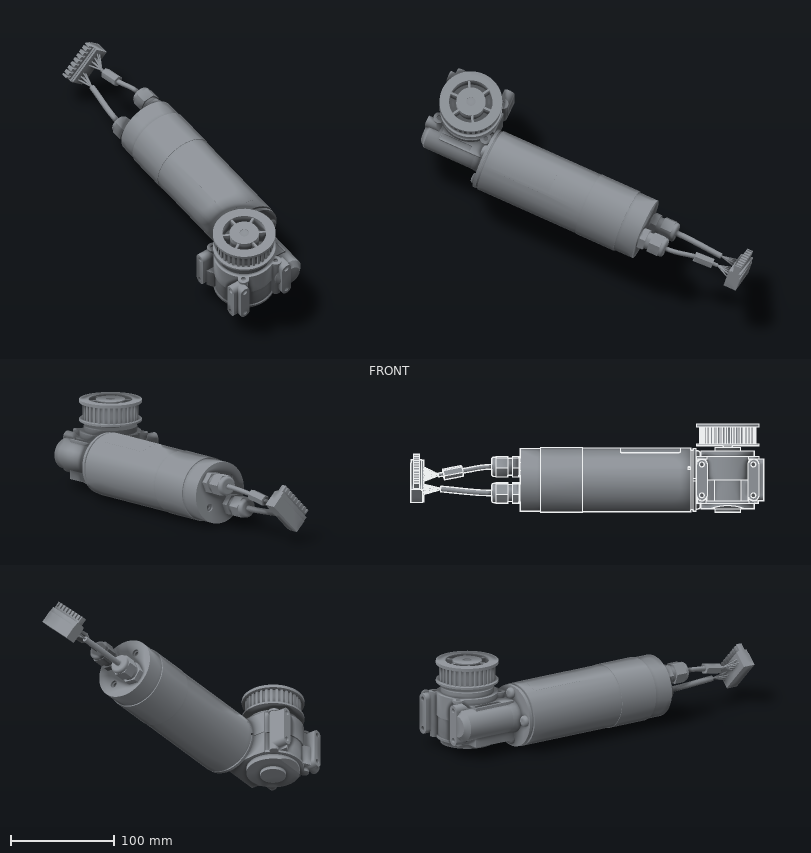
import cadquery as cq
import math


OVERALL_X = 342.93
OVERALL_Y = 97.8
OVERALL_Z = 85.8

CAP_START = 106.3
BAND_START = 126.0
BAND_END = 166.9
MOTOR_END = 272.0
CAP_DIA = 61.0
BAND_DIA = 63.0
BODY_DIA = 62.0
FACE_SCREW_OFFSET = 13.0
FACE_SCREW_DIA = 7.5
FACE_SCREW_DEPTH = 2.0
FACE_SOCKET_DIA = 4.0
LABEL_START = 203.6
LABEL_LENGTH = 58.2
LABEL_WIDTH = 33.0
LABEL_CORNER = 2.0
LABEL_THICKNESS = 0.1
MARK_X = 270.4
MARK_ANGLE = 68.0
MARK_DIA = 2.8
MARK_DEPTH = 1.5

FLANGE_NECK_DIA = 58.0
FLANGE_START = 274.2
FLANGE_END = 277.2
FLANGE_DIA = 61.0
FLANGE_SLOT = 2.5
FLANGE_SLOT_DEPTH = 4.0
FLANGE_SCREW_DIA = 11.0
FLANGE_SCREW_HEIGHT = 4.0
FLANGE_SCREW_ROUNDING = 3.0
FLANGE_SCREW_RADIUS = 23.0

SHAFT_X = 307.7
SHAFT_Y = -31.2
HOUSING_RADIUS = 30.0
LOWER_RADIUS = 28.5
HOUSING_TOP = 22.8
HOUSING_BOTTOM = -22.8
COVER_DIA = 52.0
COVER_HEIGHT = 5.3
BOSS_DIA = 25.0
BOTTOM_Z = -31.5
BOSS_TOP = 31.5
BEVEL_TOP_REACH = 30.0
BEVEL_LOW_REACH = 20.0
EAR_X = 25.0
EAR_Y = 19.5
EAR_RADIUS = 5.5
EAR_HOLE_DIA = 4.65
EAR_THICKNESS = 2.3
COLUMN_RADIUS = 4.5
FOOT_REACH = OVERALL_X - SHAFT_X
SIDE_FOOT_REACH = OVERALL_Y - BAND_DIA / 2 + SHAFT_Y
FOOT_PITCH = 50.0
FOOT_HOLE_PITCH = 30.0
FOOT_HOLE_DIA = 4.65
FOOT_HOLE_DEPTH = 7.0
FOOT_WIDTH = 10.6
FOOT_HEIGHT = 40.6
FOOT_ROOT = 19.8
FOOT_ROOT_CHAMFER = 5.0
RIB_OUTLINE = ((12.9, -20.0), (12.9, -27.3), (16.5, -29.5), (19.8, -31.0), (19.8, -20.0))
WORM_RADIUS = 15.3
WORM_END_CHAMFER = 5.0
WORM_ROOT_RADIUS = 16.7
WORM_ROOT_LENGTH = 9.0
WORM_REACH = 34.3
BRIDGE_START = -29.0
BRIDGE_END = 16.7
BRIDGE_TOP = 17.0
BRIDGE_REACH = 37.5
FLANK_REACH = 30.0
LOWER_FLANK_REACH = 29.3
FLANK_HALF_WIDTH = 10.8
BRIDGE_POCKET = (31.5, 5.5)
BRIDGE_POCKET_CENTER = (0.3, 33.3)
BRIDGE_POCKET_DEPTH = 1.5

PULLEY_BOTTOM = 33.0
PULLEY_TOP = BOTTOM_Z + OVERALL_Z
RIM_DIA = 61.0
TOP_RIM_THICKNESS = 3.0
LOW_RIM_THICKNESS = 2.0
TOOTH_COUNT = 33
TOOTH_DIA = 54.8
TOOTH_GAP = 2.8
TOOTH_DEPTH = 2.0
HUB_DIA = 28.5
RING_DIA = 42.5
RING_DEPTH = 14.0
SPOKE_COUNT = 6
SPOKE_WIDTH = 2.2
SPOKE_DROP = 1.0
SPOKE_OVERLAP = 1.0
SHAFT_DIA = 9.0
SHAFT_RECESS = 0.5

GLAND_OFFSET = 12.7
GLAND_START = 78.6
GLAND_NOSE_DIA = 19.0
GLAND_NOSE_ROUNDING = 2.5
NUT_START = 83.0
NUT_END = 94.4
SEAT_START = 98.8
SEAT_END = 105.0
GLAND_FLATS = 19.0
NUT_TURN = 7.0
GLAND_NECK_DIA = 16.7

PLUG_LENGTH = 12.8
PLUG_U = (-20.0, 21.3)
PLUG_V = (-10.0, 8.0)
PLUG_STEP_V = 3.3
PLUG_STEP_DEPTH = 0.6
PLUG_LIP = (2.0, 1.0)
PLUG_END_LIP = (1.0, 1.3)
COMB_X = (2.7, 8.8)
COMB_U = (-20.0, 20.0)
COMB_TOP = 15.4
COMB_PITCH = 5.0
COMB_SLOT = 2.0
COMB_SLOT_DEPTH = 5.0
CABLE_DIA = 5.65
THIN_CABLE_DIA = 4.65
SLEEVE_START = 32.0
SLEEVE_END = 50.3
SLEEVE_CORNERS = 11.0
SLEEVE_LOW_U = -7.4
SLEEVE_HIGH_U = -11.2
SLEEVE_HIGH_V = 1.2
SLEEVE_BOOT_DIA = 3.78
UPPER_ROOT = (27.0, -6.8)
LOWER_ROOT = (29.2, 12.4)
UPPER_WIRES_U = (-16.0, -11.0, -6.0, -1.0)
LOWER_WIRES_U = (8.0, 12.5, 17.0)
WIRE_ROWS_V = (-2.5, 1.5)
CABLE_INSERTION = 1.0
WIRE_DIA = 1.4
FAN_PLUNGE = 1.0


def point(x, u, v=0.0):
    """Point from the diagonal frame: u runs toward -Y-Z, v toward -Y+Z."""
    return cq.Vector(x, -(u + v) / math.sqrt(2), (v - u) / math.sqrt(2))


def rod(start, end, dia):
    axis = end - start
    return cq.Workplane(obj=cq.Solid.makeCylinder(dia / 2, axis.Length, start, axis))


def x_cylinder(x0, x1, dia, y=0.0, z=0.0):
    return rod(cq.Vector(x0, y, z), cq.Vector(x1, y, z), dia)


def z_cylinder(z0, z1, dia, dx=0.0, dy=0.0):
    """Upright cylinder placed relative to the output shaft axis."""
    x = SHAFT_X + dx
    y = SHAFT_Y + dy
    return rod(cq.Vector(x, y, z0), cq.Vector(x, y, z1), dia)


def box(x, y, z):
    """Box from (low, high) pairs along the three axes."""
    size = (x[1] - x[0], y[1] - y[0], z[1] - z[0])
    return cq.Workplane().box(*size, centered=False).translate((x[0], y[0], z[0]))


def diagonal_box(x, u, v):
    """Box from (low, high) pairs in the diagonal frame."""
    plane = cq.Plane(origin=point(0, 0, v[0]), xDir=(1, 0, 0), normal=point(0, 0, 1))
    return (
        cq.Workplane(plane)
        .moveTo((x[0] + x[1]) / 2, -(u[0] + u[1]) / 2)
        .rect(x[1] - x[0], u[1] - u[0])
        .extrude(v[1] - v[0])
    )


def make_motor():
    motor = x_cylinder(CAP_START, BAND_START, CAP_DIA)
    motor = motor.union(x_cylinder(BAND_START, BAND_END, BAND_DIA))
    motor = motor.union(x_cylinder(BAND_END, MOTOR_END, BODY_DIA))
    for side in (-1, 1):
        y = side * FACE_SCREW_OFFSET
        pocket_floor = CAP_START + FACE_SCREW_DEPTH
        motor = motor.cut(x_cylinder(CAP_START, pocket_floor, FACE_SCREW_DIA, y, -y))
        socket_floor = pocket_floor + FACE_SCREW_DEPTH
        motor = motor.cut(x_cylinder(CAP_START, socket_floor, FACE_SOCKET_DIA, y, -y))
    angle = math.radians(MARK_ANGLE)
    outward = cq.Vector(0, -math.sin(angle), math.cos(angle))
    surface = cq.Vector(MARK_X, 0, 0) + outward * (BODY_DIA / 2)
    return motor.cut(rod(surface + outward, surface - outward * MARK_DEPTH, MARK_DIA))


def make_label():
    """Thin raised plate that follows the top of the motor body."""
    outline = (
        cq.Workplane(origin=(LABEL_START + LABEL_LENGTH / 2, 0, 0))
        .rect(LABEL_LENGTH, LABEL_WIDTH)
        .extrude(BODY_DIA)
        .edges("|Z")
        .fillet(LABEL_CORNER)
    )
    skin = x_cylinder(BAND_END, MOTOR_END, BODY_DIA + 2 * LABEL_THICKNESS)
    return skin.intersect(outline)


def make_flange():
    flange = x_cylinder(FLANGE_START, FLANGE_END, FLANGE_DIA)
    slot_floor = FLANGE_DIA / 2 - FLANGE_SLOT_DEPTH
    half_slot = FLANGE_SLOT / 2
    slot = box((FLANGE_START, FLANGE_END), (slot_floor, FLANGE_DIA), (-half_slot, half_slot))
    flange = flange.cut(slot.rotate((0, 0, 0), (1, 0, 0), 180))
    flange = flange.union(x_cylinder(MOTOR_END, FLANGE_START, FLANGE_NECK_DIA))
    screw_end = FLANGE_END + FLANGE_SCREW_HEIGHT
    screw = x_cylinder(FLANGE_END, screw_end, FLANGE_SCREW_DIA, FLANGE_SCREW_RADIUS)
    screw = screw.faces(">X").edges().fillet(FLANGE_SCREW_ROUNDING)
    for turn in range(4):
        flange = flange.union(screw.rotate((0, 0, 0), (1, 0, 0), 90 * turn))
    return flange


def make_foot():
    """Foot that points along +X, with its root corners beveled."""
    stadium = (
        cq.Workplane("YZ", origin=(FOOT_ROOT, 0, 0))
        .slot2D(FOOT_HEIGHT, FOOT_WIDTH, 90)
        .extrude(FOOT_REACH - FOOT_ROOT)
    )
    side_profile = (
        cq.Workplane("XZ")
        .rect(2 * (FOOT_REACH - FOOT_ROOT), FOOT_HEIGHT)
        .extrude(FOOT_WIDTH, both=True)
        .edges("|Y")
        .chamfer(FOOT_ROOT_CHAMFER)
        .translate((FOOT_REACH, 0, 0))
    )
    return stadium.intersect(side_profile)


def make_ribs():
    """Ribs on the lower half, between the -Y feet and the wheel housing."""
    ribs = cq.Workplane()
    for side in (-1, 1):
        outline = [(side * x, y) for x, y in RIB_OUTLINE]
        rib = cq.Workplane().polyline(outline).close().extrude(HOUSING_BOTTOM + EAR_THICKNESS)
        ribs = ribs.add(rib.translate((SHAFT_X, SHAFT_Y, 0)))
    return ribs.combine()


def make_foot_holes():
    return (
        cq.Workplane("YZ", origin=(FOOT_REACH - FOOT_HOLE_DEPTH, 0, 0))
        .rarray(1, FOOT_HOLE_PITCH, 1, 2)
        .circle(FOOT_HOLE_DIA / 2)
        .extrude(FOOT_HOLE_DEPTH)
    )


def place_feet(foot):
    """One pair of feet on the +X side and one pair on the -Y side."""
    feet = cq.Workplane()
    for side in (-1, 1):
        on_x = foot.translate((0, side * FOOT_PITCH / 2, 0))
        on_y = on_x.rotate((0, 0, 0), (0, 0, 1), -90).translate((0, FOOT_REACH - SIDE_FOOT_REACH, 0))
        for placed in (on_x, on_y):
            feet = feet.add(placed.translate((SHAFT_X, SHAFT_Y, 0)))
    return feet.combine()


def make_worm_tube():
    tube_end = SHAFT_X + WORM_REACH
    tube = x_cylinder(FLANGE_END, tube_end, 2 * WORM_RADIUS)
    tube = tube.faces(">X").edges().chamfer(WORM_END_CHAMFER)
    root = cq.Solid.makeCone(
        WORM_ROOT_RADIUS, WORM_RADIUS, WORM_ROOT_LENGTH, cq.Vector(FLANGE_END, 0, 0), cq.Vector(1, 0, 0)
    )
    return tube.union(cq.Workplane(obj=root))


def make_bridge():
    bridge = box(
        (SHAFT_X + BRIDGE_START, SHAFT_X + BRIDGE_END),
        (SHAFT_Y, SHAFT_Y + BRIDGE_REACH),
        (HOUSING_BOTTOM, BRIDGE_TOP),
    )
    pocket = (
        cq.Workplane()
        .rect(*BRIDGE_POCKET)
        .extrude(-BRIDGE_POCKET_DEPTH)
        .translate((SHAFT_X + BRIDGE_POCKET_CENTER[0], SHAFT_Y + BRIDGE_POCKET_CENTER[1], BRIDGE_TOP))
    )
    return bridge.cut(pocket)


def make_gearbox():
    """Wheel housing with its covers, flanks, worm tube, feet, ribs and screw ears."""
    gearbox = z_cylinder(0, HOUSING_TOP, 2 * HOUSING_RADIUS)
    gearbox = gearbox.union(z_cylinder(HOUSING_BOTTOM, 0, 2 * LOWER_RADIUS))
    rim_top = HOUSING_BOTTOM + EAR_THICKNESS
    gearbox = gearbox.union(z_cylinder(HOUSING_BOTTOM, rim_top, 2 * HOUSING_RADIUS))
    gearbox = gearbox.union(z_cylinder(HOUSING_BOTTOM - COVER_HEIGHT, HOUSING_TOP + COVER_HEIGHT, COVER_DIA))
    bevel = (
        cq.Workplane("YZ")
        .polyline([
            (-BEVEL_TOP_REACH, HOUSING_BOTTOM),
            (-BEVEL_LOW_REACH, HOUSING_BOTTOM - COVER_HEIGHT),
            (-BEVEL_TOP_REACH, HOUSING_BOTTOM - COVER_HEIGHT),
        ])
        .close()
        .extrude(HOUSING_RADIUS, both=True)
        .translate((SHAFT_X, SHAFT_Y, 0))
    )
    gearbox = gearbox.cut(bevel)
    gearbox = gearbox.union(z_cylinder(BOTTOM_Z, BOSS_TOP, BOSS_DIA))
    flank_y = (SHAFT_Y - FLANK_HALF_WIDTH, SHAFT_Y + FLANK_HALF_WIDTH)
    upper_flank = box((SHAFT_X - FLANK_REACH, SHAFT_X), flank_y, (0, HOUSING_TOP))
    lower_flank = box((SHAFT_X - LOWER_FLANK_REACH, SHAFT_X), flank_y, (HOUSING_BOTTOM, 0))
    gearbox = gearbox.union(upper_flank).union(lower_flank)
    gearbox = gearbox.union(make_bridge())
    gearbox = gearbox.union(make_worm_tube())
    gearbox = gearbox.union(place_feet(make_foot()))
    gearbox = gearbox.union(make_ribs())
    for dx in (-EAR_X, EAR_X):
        for dy in (-EAR_Y, EAR_Y):
            gearbox = gearbox.union(z_cylinder(HOUSING_BOTTOM, HOUSING_TOP, 2 * COLUMN_RADIUS, dx, dy))
            ear_bottom = HOUSING_TOP - EAR_THICKNESS
            gearbox = gearbox.union(z_cylinder(ear_bottom, HOUSING_TOP, 2 * EAR_RADIUS, dx, dy))
            gearbox = gearbox.cut(z_cylinder(ear_bottom, HOUSING_TOP, EAR_HOLE_DIA, dx, dy))
    return gearbox.cut(place_feet(make_foot_holes()))


def make_pulley():
    pulley = z_cylinder(PULLEY_BOTTOM, PULLEY_TOP, TOOTH_DIA)
    gap = box(
        (TOOTH_DIA / 2 - TOOTH_DEPTH, TOOTH_DIA),
        (-TOOTH_GAP / 2, TOOTH_GAP / 2),
        (PULLEY_BOTTOM, PULLEY_TOP),
    )
    gaps = cq.Workplane()
    for tooth in range(TOOTH_COUNT):
        turned = gap.rotate((0, 0, 0), (0, 0, 1), 360 * tooth / TOOTH_COUNT)
        gaps = gaps.add(turned.translate((SHAFT_X, SHAFT_Y, 0)))
    pulley = pulley.cut(gaps.combine())
    pulley = pulley.union(z_cylinder(PULLEY_BOTTOM, PULLEY_BOTTOM + LOW_RIM_THICKNESS, RIM_DIA))
    pulley = pulley.union(z_cylinder(PULLEY_TOP - TOP_RIM_THICKNESS, PULLEY_TOP, RIM_DIA))
    ring_floor = PULLEY_TOP - RING_DEPTH
    ring = z_cylinder(ring_floor, PULLEY_TOP, RING_DIA).cut(z_cylinder(ring_floor, PULLEY_TOP, HUB_DIA))
    pulley = pulley.cut(ring)
    middle_radius = (HUB_DIA + RING_DIA) / 4
    half_spoke = (RING_DIA - HUB_DIA) / 4 + SPOKE_OVERLAP
    spoke = box(
        (middle_radius - half_spoke, middle_radius + half_spoke),
        (-SPOKE_WIDTH / 2, SPOKE_WIDTH / 2),
        (ring_floor, PULLEY_TOP - SPOKE_DROP),
    )
    for number in range(SPOKE_COUNT):
        turned = spoke.rotate((0, 0, 0), (0, 0, 1), 360 * number / SPOKE_COUNT)
        pulley = pulley.union(turned.translate((SHAFT_X, SHAFT_Y, 0)))
    pulley = pulley.cut(z_cylinder(PULLEY_TOP - SHAFT_RECESS, PULLEY_TOP, SHAFT_DIA))
    return pulley.union(z_cylinder(BOSS_TOP, PULLEY_BOTTOM, SHAFT_DIA))


def make_gland(side):
    """Cable gland; side is +1 for the upper one at +Y and -1 for the lower one at -Y."""
    y = side * GLAND_OFFSET
    gland = x_cylinder(GLAND_START, NUT_START, GLAND_NOSE_DIA, y, y)
    gland = gland.faces("<X").edges().fillet(GLAND_NOSE_ROUNDING)
    gland = gland.union(x_cylinder(NUT_START, CAP_START, GLAND_NECK_DIA, y, y))
    corner_dia = GLAND_FLATS / math.cos(math.pi / 6)
    for start, end in ((NUT_START, NUT_END), (SEAT_START, SEAT_END)):
        nut = cq.Workplane("YZ", origin=(start, y, y)).polygon(6, corner_dia).extrude(end - start)
        nut = nut.rotate((0, y, y), (1, y, y), NUT_TURN)
        gland = gland.union(nut)
    return gland


def make_plug():
    plug = diagonal_box((0, PLUG_LENGTH), PLUG_U, PLUG_V)
    plug = plug.cut(diagonal_box((0, PLUG_STEP_DEPTH), PLUG_U, (PLUG_STEP_V, PLUG_V[1])))
    lip_x = (PLUG_LENGTH - PLUG_LIP[0], PLUG_LENGTH)
    plug = plug.cut(diagonal_box(lip_x, PLUG_U, (PLUG_V[1] - PLUG_LIP[1], PLUG_V[1])))
    end_x = (PLUG_LENGTH - PLUG_END_LIP[0], PLUG_LENGTH)
    plug = plug.cut(diagonal_box(end_x, (PLUG_U[1] - PLUG_END_LIP[1], PLUG_U[1]), PLUG_V))
    comb = diagonal_box(COMB_X, COMB_U, (PLUG_V[1], COMB_TOP))
    slot_floor = COMB_TOP - COMB_SLOT_DEPTH
    slot_count = int((COMB_U[1] - COMB_U[0]) / COMB_PITCH)
    for number in range(slot_count):
        middle = COMB_U[0] + COMB_PITCH * (number + 0.5)
        slot_u = (middle - COMB_SLOT / 2, middle + COMB_SLOT / 2)
        comb = comb.cut(diagonal_box(COMB_X, slot_u, (slot_floor, COMB_TOP)))
    return plug.union(comb)


def make_curved_cable(start, end, dia):
    """Cable that leaves its gland along X and bends toward the connector."""
    path = cq.Workplane(obj=cq.Edge.makeSpline([start, end], tangents=[cq.Vector(-1, 0, 0), end - start]))
    profile = cq.Workplane(cq.Plane(origin=start, normal=(-1, 0, 0))).circle(dia / 2)
    return profile.sweep(path)


def make_fan(root, positions_u):
    """Single wires that spread from a cable end to the back of the connector."""
    fan = cq.Workplane(obj=cq.Solid.makeSphere(WIRE_DIA, root))
    for u in positions_u:
        for v in WIRE_ROWS_V:
            fan = fan.union(rod(root, point(PLUG_LENGTH - FAN_PLUNGE, u, v), WIRE_DIA))
    return fan


def make_wiring():
    gland_u = GLAND_OFFSET * math.sqrt(2)
    gland_inside = GLAND_START + CABLE_INSERTION
    sleeve_low = point(SLEEVE_START, SLEEVE_LOW_U)
    sleeve_high = point(SLEEVE_END, SLEEVE_HIGH_U, SLEEVE_HIGH_V)
    axis = sleeve_high - sleeve_low
    wiring = make_curved_cable(point(gland_inside, -gland_u), sleeve_high, THIN_CABLE_DIA)
    sleeve_plane = cq.Plane(origin=sleeve_low, xDir=point(0, 0, 1), normal=axis)
    wiring = wiring.union(cq.Workplane(sleeve_plane).polygon(6, SLEEVE_CORNERS).extrude(axis.Length))
    upper_root = point(*UPPER_ROOT)
    wiring = wiring.union(rod(upper_root, sleeve_low + axis / 2, SLEEVE_BOOT_DIA))
    wiring = wiring.union(make_fan(upper_root, UPPER_WIRES_U))
    lower_root = point(*LOWER_ROOT)
    wiring = wiring.union(make_curved_cable(point(gland_inside, gland_u), lower_root, CABLE_DIA))
    return wiring.union(make_fan(lower_root, LOWER_WIRES_U))


result = make_motor()
for section in (
    make_label(),
    make_flange(),
    make_gearbox(),
    make_pulley(),
    make_gland(1),
    make_gland(-1),
    make_wiring(),
    make_plug(),
):
    result = result.union(section)